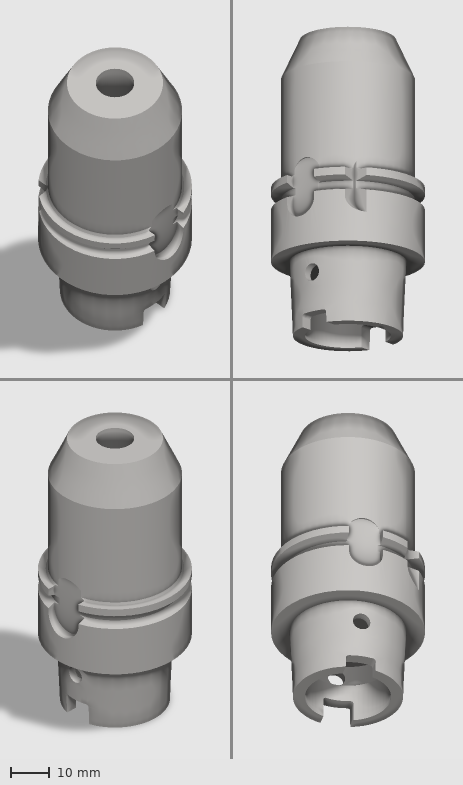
import cadquery as cq

length = 80.0
flange_radius = 20.0
flange_bottom = 20.0
flange_top = 40.0

shank_tip_radius = 14.3
shank_root_radius = 15.2
shank_mouth_radius = 11.2
shank_cavity_radius = 12.7
shank_lip_height = 10.8
shank_cone_top = 11.8
shank_cavity_top = 17.6
cross_hole_diameter = 4.6
cross_hole_height = 13.9

notch_width = 8.0
notch_corner_radius = 0.8
left_notch_height = 3.4
right_notch_height = 6.0

groove_radius = 17.4
groove_bottom = 35.0
groove_top = 37.0
groove_bevel_height = 1.0

body_radius = 17.4
collar_size = 0.6
nose_radius = 12.5
nose_bottom = 69.3
tool_bore_diameter = 10.0
tool_bore_depth = 40.0

slot_bottom = 27.9
slot_top = 44.4
slot_floor = 17.0
left_slot_width = 9.0
right_slot_width = 10.9
corner_slot_wall = 12.0


def turned_solid():
    """Outer shape of the holder, turned about Z."""
    outline = [
        (0, 0),
        (shank_tip_radius, 0),
        (shank_root_radius, flange_bottom),
        (flange_radius, flange_bottom),
        (flange_radius, groove_bottom - groove_bevel_height),
        (groove_radius, groove_bottom),
        (groove_radius, groove_top),
        (flange_radius, groove_top + groove_bevel_height),
        (flange_radius, flange_top),
        (body_radius + collar_size, flange_top),
        (body_radius, flange_top + collar_size),
        (body_radius, nose_bottom),
        (nose_radius, length),
        (0, length),
    ]
    return cq.Workplane("XZ").polyline(outline).close().revolve(360, (0, 0), (0, 1))


def shank_cavity():
    """Cavity cutter: narrow mouth, clamping cone and wider chamber above it."""
    outline = [
        (0, 0),
        (shank_mouth_radius, 0),
        (shank_mouth_radius, shank_lip_height),
        (shank_cavity_radius, shank_cone_top),
        (shank_cavity_radius, shank_cavity_top),
        (0, shank_cavity_top),
    ]
    return cq.Workplane("XZ").polyline(outline).close().revolve(360, (0, 0), (0, 1))


def flange_slot(side, width, center_y, floor):
    """Round-ended slot cutter on the +X (side = 1) or -X (side = -1) side."""
    return (
        cq.Workplane("YZ", origin=(side * floor, 0, 0))
        .center(center_y, (slot_bottom + slot_top) / 2)
        .slot2D(slot_top - slot_bottom, width, 90)
        .extrude(side * flange_radius)
    )


def drive_notch(side, height):
    """Notch cutter through one side of the shank wall, with rounded top corners."""
    return (
        cq.Workplane("XY")
        .box(flange_radius, notch_width, height, centered=(True, True, False))
        .edges("|X and >Z")
        .fillet(notch_corner_radius)
        .translate((side * flange_radius / 2, 0, 0))
    )


result = turned_solid()

result = result.cut(
    cq.Workplane("XY", origin=(0, 0, length - tool_bore_depth))
    .circle(tool_bore_diameter / 2)
    .extrude(tool_bore_depth)
)
result = result.cut(shank_cavity())

result = result.cut(
    cq.Workplane("YZ", origin=(0, 0, cross_hole_height))
    .circle(cross_hole_diameter / 2)
    .extrude(flange_radius, both=True)
)

for side, height in ((-1, left_notch_height), (1, right_notch_height)):
    result = result.cut(drive_notch(side, height))

corner_slot_center = -(corner_slot_wall + left_slot_width / 2)
result = result.cut(flange_slot(-1, left_slot_width, 0, slot_floor))
result = result.cut(flange_slot(1, right_slot_width, 0, slot_floor))
result = result.cut(flange_slot(-1, left_slot_width, corner_slot_center, corner_slot_wall))